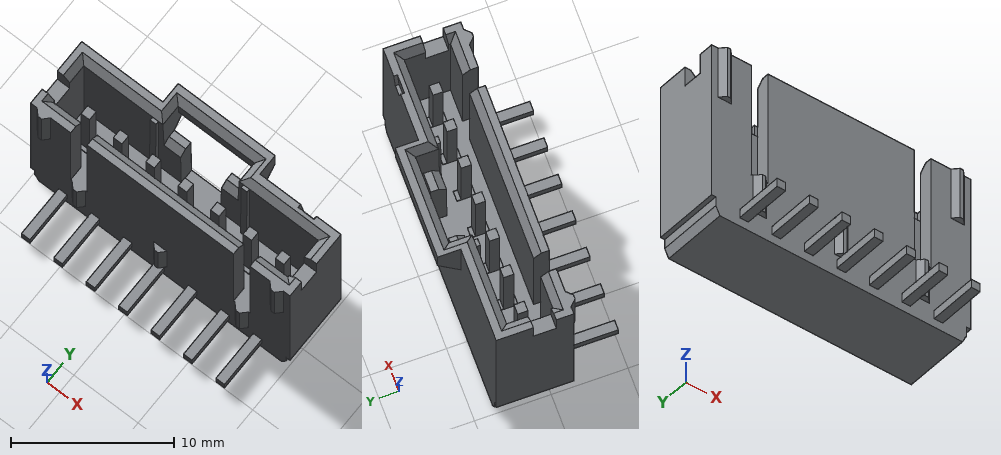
import cadquery as cq


length = 20.2
depth = 5.07
height = 13.59
foot_height = 1.37
foot_inset = 0.32
foot_chamfer_height = 0.65

floor_z = 4.7
end_wall = 0.97
long_wall = 1.03
mouth_bevel = 0.5
bevel_z = height - mouth_bevel
cavity_back = depth - long_wall

hood_width = 7.55
hood_reach = 1.51
hood_lip_height = 1.53
hood_height = 3.75
window_bottom_width = 5.77
window_top_width = 5.94
hood_back = depth + hood_reach
hood_cavity_back = hood_back - long_wall
lip_bottom = height - hood_lip_height
ledge_z = height - hood_height
gap_bottom_width = 3.07
gap_top_width = 3.2

slot_center = 6.34
slot_width = 1.27
notch_start = 1.15
notch_width = 1.5
notch_depth = 1.53

rib_base = 1.05
rib_crest = 0.26
rib_reach = 0.4
upper_rib_center = 9.07
upper_rib_length = 4.0
lower_rib_bottom = 1.74

ridge_outer_x = hood_width / 2
ridge_width = 0.46
ridge_floor_reach = 0.3
ridge_top_reach = 0.25

mark_top_width = 1.25
mark_bottom_width = 0.69
mark_height = 1.0
mark_depth = 0.25

pin_count = 7
pin_pitch = 2.52
pin_size = 0.67
pin_reach = 3.7
pin_leg_z = 0.69
pin_tip_z = 10.5
pad_length = 1.21
pad_height = 0.1


def box(x_min, x_max, y_min, y_max, z_min, z_max):
    """Box given by its limits along each axis."""
    size = (x_max - x_min, y_max - y_min, z_max - z_min)
    return cq.Workplane("XY").box(*size, centered=False).translate((x_min, y_min, z_min))


def centered_box(x_center, width, y_min, y_max, z_min, z_max):
    """Box centred on x_center along X."""
    return box(x_center - width / 2, x_center + width / 2, y_min, y_max, z_min, z_max)


def mouth_flare(width, y_min, y_max):
    """45 degree flare at the top, widening a pocket whose walls have the given limits."""
    y_center = (y_min + y_max) / 2
    span = y_max - y_min
    return (
        cq.Workplane("XY", origin=(0, y_center, bevel_z))
        .rect(width, span)
        .workplane(offset=mouth_bevel)
        .rect(width + 2 * mouth_bevel, span + 2 * mouth_bevel)
        .loft(ruled=True)
    )


def tapered_block(center, bottom_width, top_width, y_min, y_max, z_min, z_max):
    """Block whose width along X changes evenly from z_min to z_max."""
    profile = [
        (center - bottom_width / 2, z_min),
        (center + bottom_width / 2, z_min),
        (center + top_width / 2, z_max),
        (center - top_width / 2, z_max),
    ]
    return cq.Workplane("XZ", origin=(0, y_max, 0)).polyline(profile).close().extrude(y_max - y_min)


def rib(x_center, z_min, z_max):
    """Upright trapezoidal rib on the front face."""
    profile = [
        (x_center - rib_base / 2, 0),
        (x_center - rib_crest / 2, -rib_reach),
        (x_center + rib_crest / 2, -rib_reach),
        (x_center + rib_base / 2, 0),
    ]
    return cq.Workplane("XY", origin=(0, 0, z_min)).polyline(profile).close().extrude(z_max - z_min)


def ridge(x_center):
    """Upright ridge on the back wall, leaning back slightly towards its top."""
    profile = [
        (cavity_back, floor_z),
        (cavity_back - ridge_floor_reach, floor_z),
        (cavity_back - ridge_top_reach, bevel_z),
        (cavity_back, bevel_z),
    ]
    start = x_center - ridge_width / 2
    return cq.Workplane("YZ", origin=(start, 0, 0)).polyline(profile).close().extrude(ridge_width)


half_length = length / 2
foot_half = half_length - foot_inset
base_half = foot_half - foot_inset
right_side = [
    (base_half, 0),
    (foot_half, foot_chamfer_height),
    (foot_half, foot_height),
    (half_length, foot_height),
    (half_length, height),
]
left_side = [(-x, z) for x, z in reversed(right_side)]
housing = cq.Workplane("XZ").polyline(right_side + left_side).close().extrude(-depth)

hood_profile = [
    (cavity_back, height),
    (hood_back, height),
    (hood_back, lip_bottom),
    (depth, ledge_z),
    (cavity_back, ledge_z),
]
hood = (
    cq.Workplane("YZ", origin=(-hood_width / 2, 0, 0))
    .polyline(hood_profile)
    .close()
    .extrude(hood_width)
)
housing = housing.union(hood)

cavity_width = length - 2 * end_wall
housing = housing.cut(centered_box(0, cavity_width, long_wall, cavity_back, floor_z, bevel_z))
housing = housing.cut(mouth_flare(cavity_width, long_wall, cavity_back))

hood_cavity = tapered_block(
    0, window_bottom_width, window_top_width, long_wall, hood_back, ledge_z, bevel_z
)
lip = centered_box(0, hood_width, hood_cavity_back, hood_back, lip_bottom, bevel_z)
housing = housing.cut(hood_cavity.cut(lip))
housing = housing.cut(mouth_flare(window_top_width, long_wall, hood_cavity_back))

ledge_bevel = [
    (cavity_back, ledge_z - mouth_bevel),
    (cavity_back + mouth_bevel, ledge_z),
    (cavity_back, ledge_z),
]
housing = housing.cut(
    cq.Workplane("YZ", origin=(-window_bottom_width / 2, 0, 0))
    .polyline(ledge_bevel)
    .close()
    .extrude(window_bottom_width)
)
housing = housing.cut(
    tapered_block(0, gap_bottom_width, gap_top_width, cavity_back, depth, floor_z, ledge_z)
)

for side in (-1, 1):
    housing = housing.cut(
        centered_box(side * slot_center, slot_width, 0, long_wall, floor_z, height)
    )
    notch_x = side * (length - end_wall) / 2
    housing = housing.cut(
        centered_box(notch_x, end_wall, notch_start, notch_start + notch_width, height - notch_depth, height)
    )
    ridge_x = side * (ridge_outer_x - ridge_width / 2)
    housing = housing.union(ridge(ridge_x))

for x in (-upper_rib_center, upper_rib_center):
    housing = housing.union(rib(x, height - upper_rib_length, height))
for x in (-slot_center, 0, slot_center):
    housing = housing.union(rib(x, lower_rib_bottom, floor_z))

mark_center = (pin_count - 1) / 2 * pin_pitch
housing = housing.cut(
    tapered_block(
        mark_center, mark_bottom_width, mark_top_width, depth - mark_depth, depth, height - mark_height, height
    )
)

pin_y = depth / 2
pad_front = pin_y - pad_length / 2
pad_back = pin_y + pad_length / 2
blade_front = pin_y - pin_size / 2
blade_back = pin_y + pin_size / 2
for index in range(pin_count):
    x = (index - (pin_count - 1) / 2) * pin_pitch
    pad = centered_box(x, pin_size, pad_front, pad_back, floor_z, floor_z + pad_height)
    blade = centered_box(x, pin_size, blade_front, blade_back, pin_leg_z, pin_tip_z)
    leg = centered_box(x, pin_size, -pin_reach, blade_back, pin_leg_z, pin_leg_z + pin_size)
    housing = housing.union(pad).union(blade).union(leg)

result = housing